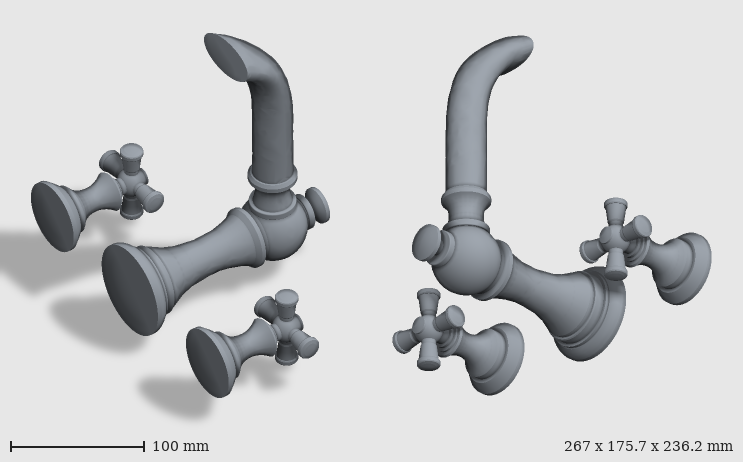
import cadquery as cq
import math


HANDLE_OFFSET = 101.5
ROUND_EDGE = 0.8

BASE_RADIUS = 37.0
BASE_EDGE = 3.7
BASE_SHOULDER_RADIUS = 31.0
BASE_SHOULDER_END = 11.5
BASE_SHOULDER_BOW = 0.8
BASE_STEP_RADIUS = 30.0
BASE_STEP_END = 14.2
DRUM_RADIUS = 27.5
DRUM_END = 22.2
COLUMN_FOOT_RADIUS = 25.1
COLUMN_FOOT_END = 25.7
COLUMN_LOWER_RADIUS = 18.5
COLUMN_LOWER_AT = 40.6
COLUMN_WAIST_RADIUS = 14.7
COLUMN_WAIST_AT = 64.2
COLUMN_UPPER_RADIUS = 16.0
COLUMN_UPPER_AT = 85.0
COLUMN_HEAD_RADIUS = 20.5
COLUMN_HEAD_AT = 100.5
BEAD_RADIUS = 23.8
BEAD_START = 104.3
BEAD_END = 107.5
BEAD_NECK_RADIUS = 20.0
BEAD_NECK_AT = 109.6

BALL_RADIUS = 26.5
BALL_AT = 130.0
SEAT_RADIUS = 12.8
SEAT_END = 154.3
COLLAR_RADIUS = 14.0
COLLAR_END = 159.6
STEM_RADIUS = 6.5
STEM_END = 163.0
KNOB_RADIUS = 14.2
KNOB_RIM_START = 169.3
KNOB_RIM_END = 172.5
KNOB_END = 175.7

NECK_SEAT_RADIUS = 16.8
NECK_RING_RADIUS = 18.0
NECK_RING_BOTTOM = 20.5
NECK_RING_TOP = 26.0
NECK_FOOT_RADIUS = 15.0
NECK_WAIST_RADIUS = 13.0
NECK_WAIST_AT = 34.5
NECK_FLARE_RADIUS = 14.5
NECK_FLARE_AT = 43.3
NECK_BEAD_RADIUS = 18.7
NECK_BEAD_BOTTOM = 48.1
NECK_BEAD_MIDDLE = 51.5
NECK_TOP_RADIUS = 16.8
NECK_TOP = 54.3

TUBE_RADIUS = 15.5
TUBE_STRAIGHT_TOP = 106.7
STRAIGHT_SPANS = 3
TIP_Y, TIP_Z = 87.5, 187.0
TIP_TILT = 76.0
TIP_DEPTH, TIP_HALF_WIDTH = 12.5, 28.3
BEND_SECTIONS = [
    (126.8, 139.0, 13.0, 14.5, 16.3),
    (120.5, 156.0, 31.0, 13.5, 18.7),
    (114.7, 165.5, 43.0, 12.5, 21.5),
    (104.3, 176.5, 61.0, 12.3, 24.3),
]

FLANGE_RADIUS = 28.0
FLANGE_EDGE = 3.7
FLANGE_SHOULDER_RADIUS = 22.0
FLANGE_SHOULDER_END = 11.0
FLANGE_SHOULDER_BOW = 0.3
HUB_RADIUS = 19.0
HUB_END = 16.8
POST_FOOT_RADIUS = 17.6
POST_FOOT_AT = 18.2
POST_LOWER_RADIUS = 10.7
POST_LOWER_AT = 27.3
POST_WAIST_RADIUS = 9.4
POST_WAIST_AT = 35.3
POST_UPPER_RADIUS = 13.0
POST_UPPER_AT = 48.5
POST_LIP_RADIUS = 15.5
POST_LIP_AT = 52.0
POST_LIP_TOP_RADIUS = 14.5
POST_LIP_TOP = 53.5
LOWER_STEP_RADIUS = 11.8
LOWER_STEP_END = 55.0
UPPER_STEP_RADIUS = 9.0
UPPER_STEP_END = 57.5
SPINDLE_RADIUS = 6.7

CROSS_RADIUS = 11.2
CROSS_AT = 72.2
BUTTON_RADIUS = 6.7
BUTTON_EDGE = 83.0
BUTTON_END = 84.0
ARM_COUNT = 4
ARM_NECK_RADIUS = 5.3
ARM_START = 12.8
ARM_BEVEL_END = 14.2
ARM_START_RADIUS = 6.2
ARM_END = 26.5
ARM_END_RADIUS = 7.8
CAP_RADIUS = 8.8
CAP_EDGE_START = 27.3
CAP_EDGE_END = 30.0
CAP_BEVEL_RADIUS = 8.3
CAP_BEVEL_END = 30.8
CAP_FACE_RADIUS = 5.5
CAP_FACE_AT = 31.5
CAP_TIP = 32.0


def turned(points):
    """Solid of revolution about Y from straight (radius, distance) steps, closed to the axis."""
    outline = [(0, points[0][1]), *points, (0, points[-1][1])]
    return cq.Workplane("XY").polyline(outline).close().revolve(360, (0, 0, 0), (0, 1, 0))


def turned_curve(points):
    """Solid of revolution about Y whose side is a smooth curve through (radius, distance) points."""
    return (
        cq.Workplane("XY")
        .moveTo(0, points[0][1])
        .lineTo(*points[0])
        .spline(points[1:], includeCurrent=True)
        .lineTo(0, points[-1][1])
        .close()
        .revolve(360, (0, 0, 0), (0, 1, 0))
    )


def dome(radius, start, end):
    """Spherical cap on the Y axis that rises from a flat circle to a point at `end`."""
    rise = end - start
    sphere_radius = (radius**2 + rise**2) / (2 * rise)
    half_angle = math.asin(radius / sphere_radius) / 2
    middle = (sphere_radius * math.sin(half_angle), end - sphere_radius * (1 - math.cos(half_angle)))
    return (
        cq.Workplane("XY")
        .moveTo(0, start)
        .lineTo(radius, start)
        .threePointArc(middle, (0, end))
        .close()
        .revolve(360, (0, 0, 0), (0, 1, 0))
    )


def flange(radius, edge, shoulder_radius, shoulder_end, bow):
    """Wall flange with a straight rim and a shoulder that bows outward."""
    middle_radius = (radius + shoulder_radius) / 2 + bow
    middle_at = (edge + shoulder_end) / 2 + bow
    return (
        cq.Workplane("XY")
        .lineTo(radius, 0)
        .lineTo(radius, edge)
        .threePointArc((middle_radius, middle_at), (shoulder_radius, shoulder_end))
        .lineTo(0, shoulder_end)
        .close()
        .revolve(360, (0, 0, 0), (0, 1, 0))
    )


def ring(radius, start, end):
    """Disc on the Y axis with both rims rounded."""
    return turned([(radius, start), (radius, end)]).edges("%CIRCLE").fillet(ROUND_EDGE)


def spout_column():
    base = flange(BASE_RADIUS, BASE_EDGE, BASE_SHOULDER_RADIUS, BASE_SHOULDER_END, BASE_SHOULDER_BOW)
    steps = turned([
        (BASE_STEP_RADIUS, BASE_SHOULDER_END),
        (BASE_STEP_RADIUS, BASE_STEP_END),
        (DRUM_RADIUS, BASE_STEP_END),
        (DRUM_RADIUS, DRUM_END - ROUND_EDGE),
        (DRUM_RADIUS - ROUND_EDGE, DRUM_END),
        (COLUMN_FOOT_RADIUS, DRUM_END),
        (COLUMN_FOOT_RADIUS, COLUMN_FOOT_END),
    ])
    shaft = turned_curve([
        (COLUMN_FOOT_RADIUS, COLUMN_FOOT_END),
        (COLUMN_LOWER_RADIUS, COLUMN_LOWER_AT),
        (COLUMN_WAIST_RADIUS, COLUMN_WAIST_AT),
        (COLUMN_UPPER_RADIUS, COLUMN_UPPER_AT),
        (COLUMN_HEAD_RADIUS, COLUMN_HEAD_AT),
    ])
    bead = turned([
        (COLUMN_HEAD_RADIUS, COLUMN_HEAD_AT),
        (BEAD_RADIUS, BEAD_START),
        (BEAD_RADIUS, BEAD_END),
        (BEAD_NECK_RADIUS, BEAD_NECK_AT),
        (BEAD_NECK_RADIUS, BALL_AT - BALL_RADIUS / 2),
    ])
    return base.union(steps).union(shaft).union(bead)


def ball():
    return cq.Workplane("XY").sphere(BALL_RADIUS).translate((0, BALL_AT, 0))


def pull_knob():
    seat = turned([(SEAT_RADIUS, BALL_AT), (SEAT_RADIUS, SEAT_END)])
    collar = ring(COLLAR_RADIUS, SEAT_END, COLLAR_END)
    knob = turned([
        (STEM_RADIUS, COLLAR_END),
        (STEM_RADIUS, STEM_END),
        (KNOB_RADIUS, KNOB_RIM_START),
        (KNOB_RADIUS, KNOB_RIM_END),
    ])
    crown = dome(KNOB_RADIUS, KNOB_RIM_END, KNOB_END)
    return seat.union(collar).union(knob).union(crown)


def neck():
    """Upright neck, turned along Y and then stood up on the ball."""
    seat = turned([(NECK_SEAT_RADIUS, 0), (NECK_SEAT_RADIUS, NECK_RING_BOTTOM)])
    foot_ring = ring(NECK_RING_RADIUS, NECK_RING_BOTTOM, NECK_RING_TOP)
    waist = turned_curve([
        (NECK_FOOT_RADIUS, NECK_RING_TOP),
        (NECK_WAIST_RADIUS, NECK_WAIST_AT),
        (NECK_FLARE_RADIUS, NECK_FLARE_AT),
        (NECK_BEAD_RADIUS, NECK_BEAD_BOTTOM),
    ])
    bead = turned([
        (NECK_BEAD_RADIUS, NECK_BEAD_BOTTOM),
        (NECK_BEAD_RADIUS, NECK_BEAD_MIDDLE),
        (NECK_TOP_RADIUS, NECK_TOP),
    ])
    upright = seat.union(foot_ring).union(waist).union(bead)
    return upright.rotate((0, 0, 0), (1, 0, 0), 90).translate((0, BALL_AT, 0))


def tube_section(centre_y, centre_z, tilt, half_depth, half_width):
    """Ellipse across the tube, tilted about X so that its normal leans toward -Y."""
    angle = math.radians(tilt)
    normal = cq.Vector(0, -math.sin(angle), math.cos(angle))
    return cq.Wire.makeEllipse(
        half_width,
        half_depth,
        cq.Vector(0, centre_y, centre_z),
        normal,
        cq.Vector(1, 0, 0),
    )


def spout_tube():
    """Straight pipe followed by a bend that flattens and widens toward the outlet."""
    straight_step = (TUBE_STRAIGHT_TOP - NECK_TOP) / STRAIGHT_SPANS
    straight_heights = [NECK_TOP + index * straight_step for index in range(STRAIGHT_SPANS + 1)]
    sections = [
        *[(BALL_AT, height, 0, TUBE_RADIUS, TUBE_RADIUS) for height in straight_heights],
        *BEND_SECTIONS,
        (TIP_Y, TIP_Z, TIP_TILT, TIP_DEPTH, TIP_HALF_WIDTH),
    ]
    return cq.Workplane(cq.Solid.makeLoft([tube_section(*section) for section in sections]))


def make_spout():
    return spout_column().union(ball()).union(pull_knob()).union(neck()).union(spout_tube())


def handle_column():
    base = flange(
        FLANGE_RADIUS, FLANGE_EDGE, FLANGE_SHOULDER_RADIUS, FLANGE_SHOULDER_END, FLANGE_SHOULDER_BOW
    )
    hub = turned([
        (HUB_RADIUS, FLANGE_SHOULDER_END),
        (HUB_RADIUS, HUB_END),
        (POST_FOOT_RADIUS, POST_FOOT_AT),
    ])
    post = turned_curve([
        (POST_FOOT_RADIUS, POST_FOOT_AT),
        (POST_LOWER_RADIUS, POST_LOWER_AT),
        (POST_WAIST_RADIUS, POST_WAIST_AT),
        (POST_UPPER_RADIUS, POST_UPPER_AT),
        (POST_LIP_RADIUS, POST_LIP_AT),
    ])
    steps = turned([
        (POST_LIP_RADIUS, POST_LIP_AT),
        (POST_LIP_TOP_RADIUS, POST_LIP_TOP),
        (LOWER_STEP_RADIUS, POST_LIP_TOP),
        (LOWER_STEP_RADIUS, LOWER_STEP_END),
        (UPPER_STEP_RADIUS, LOWER_STEP_END),
        (UPPER_STEP_RADIUS, UPPER_STEP_END),
        (SPINDLE_RADIUS, UPPER_STEP_END),
        (SPINDLE_RADIUS, CROSS_AT),
    ])
    return base.union(hub).union(post).union(steps)


def handle_arm():
    """One arm along +Y from the cross centre, ending in a wider domed cap."""
    arm = turned([
        (ARM_NECK_RADIUS, 0),
        (ARM_NECK_RADIUS, ARM_START),
        (ARM_START_RADIUS, ARM_BEVEL_END),
        (ARM_END_RADIUS, ARM_END),
        (CAP_BEVEL_RADIUS, ARM_END),
        (CAP_RADIUS, CAP_EDGE_START),
        (CAP_RADIUS, CAP_EDGE_END),
        (CAP_BEVEL_RADIUS, CAP_BEVEL_END),
        (CAP_FACE_RADIUS, CAP_FACE_AT),
    ])
    return arm.union(dome(CAP_FACE_RADIUS, CAP_FACE_AT, CAP_TIP))


def handle_cross():
    cross = cq.Workplane("XY").sphere(CROSS_RADIUS)
    arm = handle_arm().rotate((0, 0, 0), (0, 0, 1), 90)
    for index in range(ARM_COUNT):
        cross = cross.union(arm.rotate((0, 0, 0), (0, 1, 0), index * 360 / ARM_COUNT))
    cross = cross.translate((0, CROSS_AT, 0))
    button = turned([(BUTTON_RADIUS, CROSS_AT), (BUTTON_RADIUS, BUTTON_EDGE)])
    return cross.union(button).union(dome(BUTTON_RADIUS, BUTTON_EDGE, BUTTON_END))


def make_handle(centre_x):
    return handle_column().union(handle_cross()).translate((centre_x, 0, 0))


spout = make_spout()
handles = [make_handle(side * HANDLE_OFFSET) for side in (-1, 1)]

result = cq.Compound.makeCompound([spout.val(), *[handle.val() for handle in handles]])